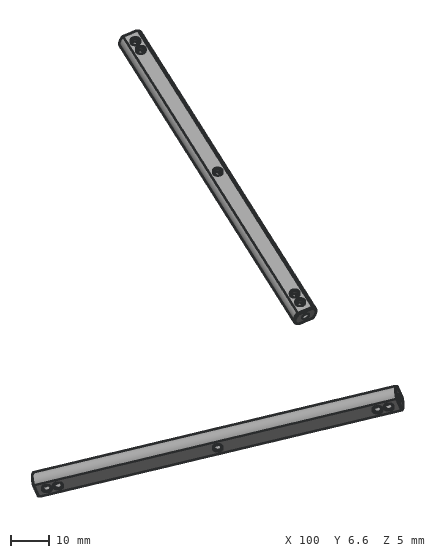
import cadquery as cq

length = 100.0
rod_diameter = 6.6
flat_to_flat = 5.0
end_chamfer = 0.3

bore_diameter = 2.0
cross_hole_diameter = 2.0
countersink_diameter = 2.6
countersink_angle = 90.0
end_hole_inset = 3.1
end_hole_spacing = 3.1


def flatted_rod():
    """Rod along X, centred on the origin, with flats facing up and down and broken end edges."""
    rod = cq.Workplane("YZ").circle(rod_diameter / 2).extrude(length / 2, both=True)
    flats = cq.Workplane("XY").box(length, rod_diameter, flat_to_flat)
    return rod.intersect(flats).faces("<X or >X").chamfer(end_chamfer)


def cross_hole_centers():
    """One hole in the middle and a pair near each end."""
    outer_x = length / 2 - end_hole_inset
    inner_x = outer_x - end_hole_spacing
    return [(x, 0) for x in (-outer_x, -inner_x, 0, inner_x, outer_x)]


def drill_cross_holes(body):
    """Vertical through holes, countersunk on both flats."""
    centers = cross_hole_centers()
    for flat in (">Z", "<Z"):
        body = (
            body.faces(flat)
            .workplane(origin=(0, 0, 0))
            .pushPoints(centers)
            .cskHole(cross_hole_diameter, countersink_diameter, countersink_angle)
        )
    return body


def drill_axial_bore(body):
    """Bore through the full length on the rod axis."""
    bore = cq.Workplane("YZ").circle(bore_diameter / 2).extrude(length / 2, both=True)
    return body.cut(bore)


result = drill_axial_bore(drill_cross_holes(flatted_rod()))